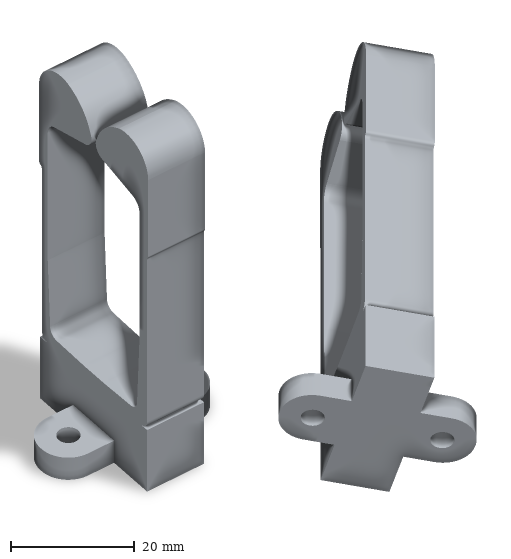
import cadquery as cq
import math

HEIGHT = 72.75
HEAD_WIDTH = 29.5
CLIP_DEPTH = 11.5

BASE_WIDTH = 28.9
BASE_HEIGHT = 13.2

TAB_SPAN = 32.75
TAB_WIDTH = 11.05
TAB_THICKNESS = 4.7
TAB_CORNER_RADIUS = 5.4
HOLE_DIAMETER = 3.9
HOLE_SPACING = 21.7

LEFT_ARM_OUTER = 14.0
RIGHT_ARM_OUTER = 14.5
ARM_FOOT_RADIUS = 1.7
STEP_MIDDLE = 50.05
STEP_RADIUS = 0.7

OPENING_HALF_WIDTH = 12.4
TAPER_TOP = 30.9
OPENING_FOOT_HALF_WIDTH = 11.65
FLOOR_HEIGHT = 15.1
FLOOR_FLAT_HALF_WIDTH = 2.6
FLOOR_EDGE_RISE = 0.3
FLOOR_CORNER_RADIUS = 1.8
ROOF_CORNER_RADIUS = 2.5

CROWN_RADIUS = 5.9
CROWN_END = 6.85
CHEEK_MIDDLE = (3.0, 69.8)
NOSE_TOP = (0.8, 65.9)
NOSE_TIP = (0.6, 64.75)
NOSE_BOTTOM = (2.1, 62.8)
ROOF_SLOPE_ANGLE = 14.5


def arm_profile(side, arm_outer):
    """One arm with its head; side is -1 for left and +1 for right."""
    def at(x, z):
        return (side * x, z)

    head_outer = HEAD_WIDTH / 2
    crown_x = head_outer - CROWN_RADIUS
    crown_z = HEIGHT - CROWN_RADIUS
    crown_end_z = crown_z + math.sqrt(CROWN_RADIUS**2 - (crown_x - CROWN_END) ** 2)
    step = head_outer - arm_outer
    step_half_height = math.sqrt(STEP_RADIUS * step - (step / 2) ** 2)
    roof_drop = (OPENING_HALF_WIDTH - NOSE_BOTTOM[0]) * math.tan(math.radians(ROOF_SLOPE_ANGLE))
    foot_x = arm_outer - ARM_FOOT_RADIUS
    foot_z = BASE_HEIGHT + ARM_FOOT_RADIUS
    foot_mid = ARM_FOOT_RADIUS * math.sqrt(0.5)

    arm = (
        cq.Workplane("XZ")
        .moveTo(*at(0, BASE_HEIGHT))
        .lineTo(*at(foot_x, BASE_HEIGHT))
        .threePointArc(at(foot_x + foot_mid, foot_z - foot_mid), at(arm_outer, foot_z))
        .lineTo(*at(arm_outer, STEP_MIDDLE - step_half_height))
        .tangentArcPoint(at(arm_outer + step / 2, STEP_MIDDLE), relative=False)
        .tangentArcPoint(at(head_outer, STEP_MIDDLE + step_half_height), relative=False)
        .lineTo(*at(head_outer, crown_z))
        .threePointArc(at(crown_x, HEIGHT), at(CROWN_END, crown_end_z))
        .threePointArc(at(*CHEEK_MIDDLE), at(*NOSE_TOP))
        .threePointArc(at(*NOSE_TIP), at(*NOSE_BOTTOM))
        .lineTo(*at(OPENING_HALF_WIDTH, NOSE_BOTTOM[1] - roof_drop))
        .lineTo(*at(OPENING_HALF_WIDTH, TAPER_TOP))
        .lineTo(*at(OPENING_FOOT_HALF_WIDTH, FLOOR_HEIGHT + FLOOR_EDGE_RISE))
        .lineTo(*at(FLOOR_FLAT_HALF_WIDTH, FLOOR_HEIGHT))
        .lineTo(*at(0, FLOOR_HEIGHT))
        .close()
        .extrude(CLIP_DEPTH / 2, both=True)
    )

    roof_corner = at(OPENING_HALF_WIDTH, NOSE_BOTTOM[1] - roof_drop)
    floor_corner = at(OPENING_FOOT_HALF_WIDTH, FLOOR_HEIGHT + FLOOR_EDGE_RISE)
    arm = round_edge(arm, roof_corner, ROOF_CORNER_RADIUS)
    return round_edge(arm, floor_corner, FLOOR_CORNER_RADIUS)


def round_edge(body, corner, radius):
    """Fillet the edge along Y that passes through the (x, z) corner."""
    nearest = cq.selectors.NearestToPointSelector((corner[0], 0, corner[1]))
    return body.edges("|Y").edges(nearest).fillet(radius)


def base_block():
    return cq.Workplane("XY").box(BASE_WIDTH, CLIP_DEPTH, BASE_HEIGHT, centered=(True, True, False))


def mounting_tabs():
    """A single strip under the clip that sticks out as a tab on both sides."""
    return (
        cq.Workplane("XY")
        .box(TAB_WIDTH, TAB_SPAN, TAB_THICKNESS, centered=(True, True, False))
        .edges("|Z")
        .fillet(TAB_CORNER_RADIUS)
        .faces(">Z")
        .workplane()
        .rarray(0.7, HOLE_SPACING, 1, 2)
        .hole(HOLE_DIAMETER)
    )


left_arm = arm_profile(-1, LEFT_ARM_OUTER)
right_arm = arm_profile(1, RIGHT_ARM_OUTER)
result = base_block().union(mounting_tabs()).union(left_arm).union(right_arm)